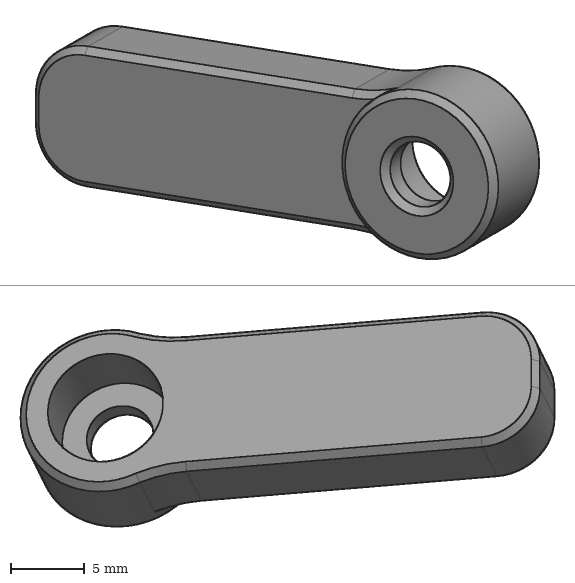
import cadquery as cq
import math

length = 36.0
boss_diameter = 12.0
boss_depth = 7.0
arm_depth = 6.0
arm_height = 10.0
corner_radius = 4.0
neck_radius = 10.0
bore_diameter = 4.6
counterbore_diameter = 8.0
bore_depth = 2.0
edge_chamfer = 0.5
neck_overlap = 0.007

boss_radius = boss_diameter / 2
arm_end_x = boss_radius - length
half_height = arm_height / 2

neck_tangent_radius = boss_radius - neck_overlap
neck_center_z = half_height + neck_radius
neck_center_distance = neck_tangent_radius + neck_radius
neck_start_x = -math.sqrt(neck_center_distance**2 - neck_center_z**2)
boss_tangent_x = neck_start_x * neck_tangent_radius / neck_center_distance
boss_tangent_z = neck_center_z * neck_tangent_radius / neck_center_distance
neck_end_angle = math.atan2(boss_tangent_z - neck_center_z, boss_tangent_x - neck_start_x)
neck_start_angle = -math.pi / 2
neck_mid_angle = (neck_start_angle + neck_end_angle) / 2
neck_mid_x = neck_start_x + neck_radius * math.cos(neck_mid_angle)
neck_mid_z = neck_center_z + neck_radius * math.sin(neck_mid_angle)


def make_arm():
    """Arm with a rounded end and a flared neck, closed by a straight line inside the boss."""
    corner_mid = corner_radius * (1 - math.sqrt(0.5))
    corner_x = arm_end_x + corner_radius
    corner_z = half_height - corner_radius
    outline = (
        cq.Workplane("XZ")
        .moveTo(corner_x, half_height)
        .lineTo(neck_start_x, half_height)
        .threePointArc((neck_mid_x, neck_mid_z), (boss_tangent_x, boss_tangent_z))
        .lineTo(boss_tangent_x, -boss_tangent_z)
        .threePointArc((neck_mid_x, -neck_mid_z), (neck_start_x, -half_height))
        .lineTo(corner_x, -half_height)
        .threePointArc((arm_end_x + corner_mid, corner_mid - half_height), (arm_end_x, -corner_z))
        .lineTo(arm_end_x, corner_z)
        .threePointArc((arm_end_x + corner_mid, half_height - corner_mid), (corner_x, half_height))
        .close()
    )
    return outline.extrude(arm_depth).faces("<Y").chamfer(edge_chamfer)


def make_boss():
    """Round boss standing proud of the arm's front face."""
    boss = cq.Workplane("XZ").circle(boss_radius).extrude(boss_depth)
    return boss.faces("<Y").chamfer(edge_chamfer)


def make_bore():
    """Through bore with a chamfered front mouth and a counterbore from the back."""
    bore_radius = bore_diameter / 2
    mouth_radius = bore_radius + edge_chamfer
    counterbore_radius = counterbore_diameter / 2
    floor_y = bore_depth - boss_depth
    return (
        cq.Workplane("XY")
        .polyline([
            (0, 0),
            (counterbore_radius, 0),
            (counterbore_radius, floor_y),
            (bore_radius, floor_y),
            (bore_radius, edge_chamfer - boss_depth),
            (mouth_radius, -boss_depth),
            (0, -boss_depth),
        ])
        .close()
        .revolve(360, (0, 0, 0), (0, 1, 0))
    )


body = make_arm().union(make_boss()).faces(">Y").chamfer(edge_chamfer)
result = body.cut(make_bore())